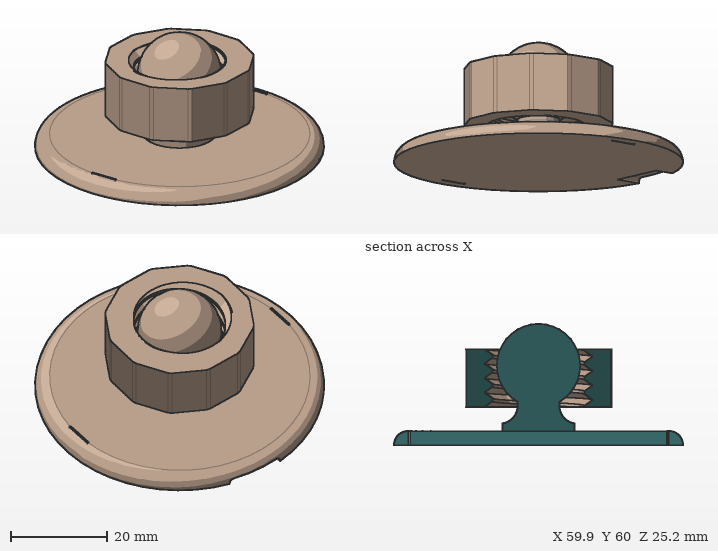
import cadquery as cq
import math

BASE_RADIUS = 30.0
BASE_THICKNESS = 3.0
SLOT_LENGTH = 6.0
SLOT_INNER_Y = 26.6
SLOT_OUTER_Y = 27.0
NOTCH_WIDTH = 12.2
NOTCH_CENTER_Y = 3.5
NOTCH_HEIGHT = 1.1
NOTCH_DEPTH = 6.0
NOTCH_CORNER_RADIUS = 0.95

FOOT_RADIUS = 7.5
FOOT_HEIGHT = 1.55
NECK_RADIUS = 4.4
FLARE_ARC_RADIUS = 3.6
BALL_RADIUS = 8.7
OVERALL_HEIGHT = 25.2

NUT_BOTTOM_Z = 7.9
NUT_HEIGHT = 12.0
NUT_SIDES = 12
NUT_ACROSS_FLATS = 30.1
NUT_CORNER_RADIUS = 15.45
NUT_TURN = -1.5

THREAD_MINOR_RADIUS = 19.0 / 2
THREAD_MAJOR_RADIUS = 22.35 / 2
THREAD_PITCH = 3.0
THREAD_FLANK_ANGLE = 35.0
THREAD_ROOT_ANGLE = -90.0
CUTTER_OVERLAP = 0.1

FOOT_TOP_Z = BASE_THICKNESS + FOOT_HEIGHT
BALL_CENTER_Z = OVERALL_HEIGHT - BALL_RADIUS


def make_base():
    """Disc with a quarter-round rim, two strap slots and an edge notch."""
    flat_radius = BASE_RADIUS - BASE_THICKNESS
    arc_step = BASE_THICKNESS * math.sqrt(0.5)
    disc = (
        cq.Workplane("XZ")
        .lineTo(BASE_RADIUS, 0)
        .threePointArc((flat_radius + arc_step, arc_step), (flat_radius, BASE_THICKNESS))
        .lineTo(0, BASE_THICKNESS)
        .close()
        .revolve(360, (0, 0, 0), (0, 1, 0))
    )
    slot_center_y = (SLOT_INNER_Y + SLOT_OUTER_Y) / 2
    slots = (
        cq.Workplane("XY")
        .pushPoints([(0, slot_center_y), (0, -slot_center_y)])
        .rect(SLOT_LENGTH, SLOT_OUTER_Y - SLOT_INNER_Y)
        .extrude(BASE_THICKNESS)
    )
    notch = (
        cq.Workplane("XY")
        .box(NOTCH_DEPTH, NOTCH_WIDTH, NOTCH_HEIGHT, centered=(False, True, False))
        .edges("|X and >Z")
        .fillet(NOTCH_CORNER_RADIUS)
        .translate((-BASE_RADIUS, NOTCH_CENTER_Y, 0))
    )
    return disc.cut(slots).cut(notch)


def make_stud():
    """Round foot, neck flaring out to the foot's edge, and a ball on top."""
    arc_center_radius = NECK_RADIUS + FLARE_ARC_RADIUS
    flare_height = math.sqrt(FLARE_ARC_RADIUS**2 - (arc_center_radius - FOOT_RADIUS) ** 2)
    flare_top_z = FOOT_TOP_Z + flare_height
    arc_step = FLARE_ARC_RADIUS * math.sqrt(0.5)
    ball_joint_z = BALL_CENTER_Z - math.sqrt(BALL_RADIUS**2 - NECK_RADIUS**2)
    return (
        cq.Workplane("XZ")
        .moveTo(0, BASE_THICKNESS)
        .lineTo(FOOT_RADIUS, BASE_THICKNESS)
        .lineTo(FOOT_RADIUS, FOOT_TOP_Z)
        .threePointArc(
            (arc_center_radius - arc_step, flare_top_z - arc_step),
            (NECK_RADIUS, flare_top_z),
        )
        .lineTo(NECK_RADIUS, ball_joint_z)
        .threePointArc((BALL_RADIUS, BALL_CENTER_Z), (0, OVERALL_HEIGHT))
        .close()
        .revolve(360, (0, 0, 0), (0, 1, 0))
    )


def make_thread_groove():
    """Helical V groove that runs out through both ends of the nut."""
    inner_radius = THREAD_MINOR_RADIUS - CUTTER_OVERLAP
    half_width = (THREAD_MAJOR_RADIUS - inner_radius) * math.tan(math.radians(THREAD_FLANK_ANGLE))
    turns_in_nut = math.ceil(NUT_HEIGHT / THREAD_PITCH)
    turns_below_top = turns_in_nut + 1
    start_z = NUT_BOTTOM_Z + NUT_HEIGHT - turns_below_top * THREAD_PITCH
    length = (turns_below_top + 1) * THREAD_PITCH
    helix = cq.Wire.makeHelix(THREAD_PITCH, length, inner_radius)
    return (
        cq.Workplane("XZ")
        .moveTo(inner_radius, -half_width)
        .lineTo(THREAD_MAJOR_RADIUS, 0)
        .lineTo(inner_radius, half_width)
        .close()
        .sweep(cq.Workplane(helix), isFrenet=True)
        .rotate((0, 0, 0), (0, 0, 1), THREAD_ROOT_ANGLE)
        .translate((0, 0, start_z))
    )


def make_nut():
    """Twelve-sided nut with its corners turned down and a threaded bore."""
    corner_to_corner = NUT_ACROSS_FLATS / math.cos(math.pi / NUT_SIDES)
    flat_facing_turn = 180 / NUT_SIDES
    prism = (
        cq.Workplane("XY")
        .polygon(NUT_SIDES, corner_to_corner)
        .extrude(NUT_HEIGHT)
        .rotate((0, 0, 0), (0, 0, 1), flat_facing_turn + NUT_TURN)
    )
    rounding_disc = cq.Workplane("XY").circle(NUT_CORNER_RADIUS).extrude(NUT_HEIGHT)
    bore = cq.Workplane("XY").circle(THREAD_MINOR_RADIUS).extrude(NUT_BOTTOM_Z + 2 * NUT_HEIGHT)
    blank = prism.intersect(rounding_disc).translate((0, 0, NUT_BOTTOM_Z))
    return blank.cut(make_thread_groove()).cut(bore)


base = make_base()
stud = make_stud()
nut = make_nut()

result = cq.Compound.makeCompound([base.val(), stud.val(), nut.val()])